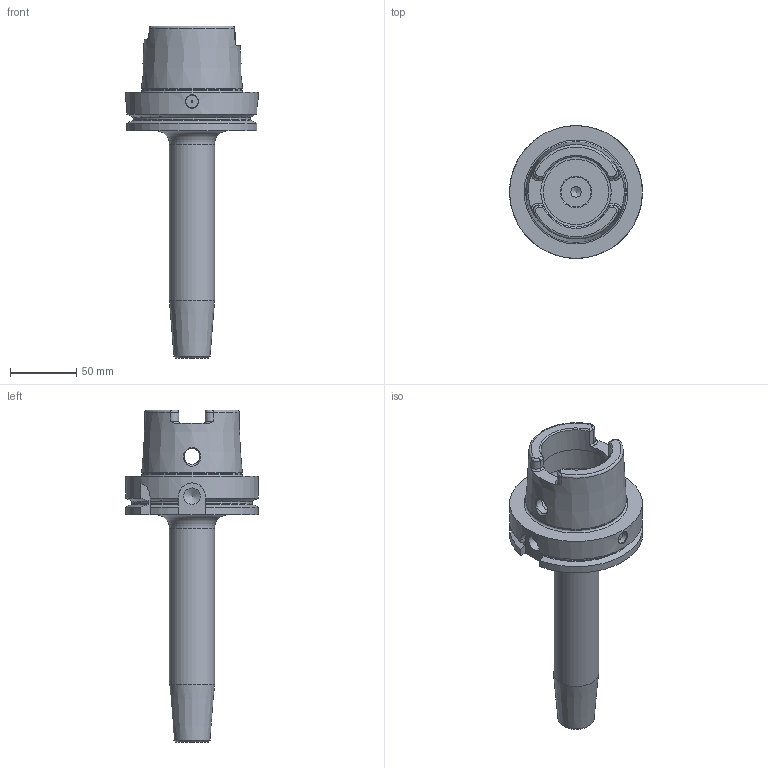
import cadquery as cq
import math


SHANK_TOP = 49.9
SHANK_RADIUS_AT_FLANGE = 38.0
SHANK_SLOPE = 0.05
LUG_EDGE_ROUND = 1.8

RELIEF_TOP = 2.8
RELIEF_DEPTH = 0.3
RELIEF_LIP_HEIGHT = 0.6
RELIEF_FOOT_ROUND = 1.5

FLANGE_RADIUS = 50.0
FLANGE_BOTTOM = -29.0
GROOVE_Z = -19.9
GROOVE_DEPTH = 4.5
GROOVE_FLOOR_WIDTH = 2.6
GROOVE_FLANK_ANGLE = 25.0
GROOVE_ROOT_ROUND = 0.6

STEM_RADIUS = 17.0
STEM_ROOT_RADIUS = 10.0
NOSE_TOP = -157.0
NOSE_BOTTOM = -200.0
NOSE_END_RADIUS = 13.5
NOSE_CHAMFER = 1.5

MOUTH_RADIUS = 26.5
MOUTH_CHAMFER = 1.0
MOUTH_BOTTOM = 30.5
CAVITY_RADIUS = 31.0
CAVITY_CONE_ANGLE = 60.0
CAVITY_FLOOR = 4.0
CAVITY_FLOOR_ROUND = 6.4
TUBE_SEAT_RADIUS = 11.3
TUBE_SEAT_CHAMFER = 0.6
TUBE_SEAT_DEPTH = 15.0
COOLANT_HOLE_RADIUS = 4.0
COOLANT_HOLE_DEPTH = 10.0
DRILL_POINT_ANGLE = 118.0

NOTCH_WIDTH = 20.0
NOTCH_CORNER_RADIUS = 4.2
NOTCH_FLOOR_ROUND = 1.5
NOTCH_FLOOR_LEFT = 40.0
NOTCH_FLOOR_RIGHT = 35.0

CROSS_HOLE_Z = 15.0
CROSS_HOLE_RADIUS = 6.0
CROSS_HOLE_SINK = 1.0

SLOT_RADIUS = 10.0
WIDE_SLOT_RADIUS = 11.0
SLOT_CENTRE_Z = -15.0
DRIVE_SLOT_FLOOR = 44.0
INDEX_SLOT_FLOOR = 31.8
INDEX_SLOT_Y = 41.6
SLOT_HOLE_RADIUS = 6.2
SLOT_HOLE_DEPTH = 8.0

CHIP_Z = -7.0
CHIP_RADIUS = 4.6
CHIP_SINK = 0.5
CHIP_DEPTH = 4.6
CHIP_CENTRE_RADIUS = 0.6
CHIP_CENTRE_DEPTH = 1.0

TOLERANCE = 0.01


def shank_radius(z):
    return SHANK_RADIUS_AT_FLANGE - SHANK_SLOPE * z


def revolve_profile(profile):
    """Revolve a closed (radius, z) profile about the Z axis."""
    return profile.close().revolve(360, (0, 0, 0), (0, 1, 0))


def arc_mid_offset(radius):
    """Distance, along each axis, from the tangent lines to the middle of a quarter round."""
    return radius * (1 - math.sqrt(0.5))


def outer_body():
    relief_radius = shank_radius(RELIEF_TOP) - RELIEF_DEPTH
    foot_offset = arc_mid_offset(RELIEF_FOOT_ROUND)
    flank_rise = GROOVE_DEPTH * math.tan(math.radians(GROOVE_FLANK_ANGLE))
    half_floor = GROOVE_FLOOR_WIDTH / 2
    half_mouth = half_floor + flank_rise
    groove_radius = FLANGE_RADIUS - GROOVE_DEPTH
    nose_slope = (STEM_RADIUS - NOSE_END_RADIUS) / (NOSE_TOP - NOSE_BOTTOM)
    chamfer_radius = NOSE_END_RADIUS + nose_slope * NOSE_CHAMFER
    root_offset = arc_mid_offset(STEM_ROOT_RADIUS)
    profile = (
        cq.Workplane("XZ")
        .moveTo(0, SHANK_TOP)
        .lineTo(shank_radius(SHANK_TOP), SHANK_TOP)
        .lineTo(shank_radius(RELIEF_TOP), RELIEF_TOP)
        .lineTo(relief_radius, RELIEF_TOP - RELIEF_LIP_HEIGHT)
        .lineTo(relief_radius, RELIEF_FOOT_ROUND)
        .threePointArc(
            (relief_radius + foot_offset, foot_offset),
            (relief_radius + RELIEF_FOOT_ROUND, 0),
        )
        .lineTo(FLANGE_RADIUS, 0)
        .lineTo(FLANGE_RADIUS, GROOVE_Z + half_mouth)
        .lineTo(groove_radius, GROOVE_Z + half_floor)
        .lineTo(groove_radius, GROOVE_Z - half_floor)
        .lineTo(FLANGE_RADIUS, GROOVE_Z - half_mouth)
        .lineTo(FLANGE_RADIUS, FLANGE_BOTTOM)
        .lineTo(STEM_RADIUS + STEM_ROOT_RADIUS, FLANGE_BOTTOM)
        .threePointArc(
            (STEM_RADIUS + root_offset, FLANGE_BOTTOM - root_offset),
            (STEM_RADIUS, FLANGE_BOTTOM - STEM_ROOT_RADIUS),
        )
        .lineTo(STEM_RADIUS, NOSE_TOP)
        .lineTo(chamfer_radius, NOSE_BOTTOM + NOSE_CHAMFER)
        .lineTo(chamfer_radius - NOSE_CHAMFER, NOSE_BOTTOM)
        .lineTo(0, NOSE_BOTTOM)
    )
    body = revolve_profile(profile)
    in_groove = cq.selectors.BoxSelector(
        (-FLANGE_RADIUS, -FLANGE_RADIUS, GROOVE_Z - half_mouth / 2),
        (FLANGE_RADIUS, FLANGE_RADIUS, GROOVE_Z + half_mouth / 2),
    )
    return body.edges(in_groove).edges("%CIRCLE").fillet(GROOVE_ROOT_ROUND)


def drill_point_height(radius):
    return radius / math.tan(math.radians(DRILL_POINT_ANGLE / 2))


def clamping_cavity():
    shoulder_height = (CAVITY_RADIUS - MOUTH_RADIUS) / math.tan(math.radians(CAVITY_CONE_ANGLE))
    round_offset = arc_mid_offset(CAVITY_FLOOR_ROUND)
    seat_floor = CAVITY_FLOOR - TUBE_SEAT_DEPTH
    hole_bottom = seat_floor - COOLANT_HOLE_DEPTH
    profile = (
        cq.Workplane("XZ")
        .moveTo(0, SHANK_TOP)
        .lineTo(MOUTH_RADIUS + MOUTH_CHAMFER, SHANK_TOP)
        .lineTo(MOUTH_RADIUS, SHANK_TOP - MOUTH_CHAMFER)
        .lineTo(MOUTH_RADIUS, MOUTH_BOTTOM)
        .lineTo(CAVITY_RADIUS, MOUTH_BOTTOM - shoulder_height)
        .lineTo(CAVITY_RADIUS, CAVITY_FLOOR + CAVITY_FLOOR_ROUND)
        .threePointArc(
            (CAVITY_RADIUS - round_offset, CAVITY_FLOOR + round_offset),
            (CAVITY_RADIUS - CAVITY_FLOOR_ROUND, CAVITY_FLOOR),
        )
        .lineTo(TUBE_SEAT_RADIUS + TUBE_SEAT_CHAMFER, CAVITY_FLOOR)
        .lineTo(TUBE_SEAT_RADIUS, CAVITY_FLOOR - TUBE_SEAT_CHAMFER)
        .lineTo(TUBE_SEAT_RADIUS, seat_floor)
        .lineTo(COOLANT_HOLE_RADIUS, seat_floor)
        .lineTo(COOLANT_HOLE_RADIUS, hole_bottom)
        .lineTo(0, hole_bottom - drill_point_height(COOLANT_HOLE_RADIUS))
    )
    return revolve_profile(profile)


def driver_notch(floor_z):
    """Square-cornered cutter for a notch on the +X side, from the axis outwards."""
    return cq.Workplane("XY").box(
        FLANGE_RADIUS, NOTCH_WIDTH, SHANK_TOP - floor_z, centered=(False, True, False)
    ).translate((0, 0, floor_z))


def is_on_notch_wall(edge):
    return abs(abs(edge.Center().y) - NOTCH_WIDTH / 2) < TOLERANCE


def is_lug_corner(edge):
    """Upright edge where a notch wall leaves the taper."""
    between_levels = NOTCH_FLOOR_LEFT + TOLERANCE < edge.Center().z < SHANK_TOP - TOLERANCE
    return is_on_notch_wall(edge) and between_levels and abs(edge.Center().x) > MOUTH_RADIUS


def is_notch_floor_edge(edge):
    """Level edge between a notch wall and its floor."""
    heights = (edge.startPoint().z, edge.endPoint().z)
    on_a_floor = any(
        all(abs(z - floor_z) < TOLERANCE for z in heights)
        for floor_z in (NOTCH_FLOOR_LEFT, NOTCH_FLOOR_RIGHT)
    )
    return is_on_notch_wall(edge) and on_a_floor


def round_edges(body, is_wanted, radius):
    edges = [edge for edge in body.edges().vals() if is_wanted(edge)]
    return body.newObject(edges).fillet(radius)


def shank_with_lugs():
    """Outer body with both notches cut and the lugs rounded; the shank is still solid."""
    body = outer_body()
    body = body.cut(driver_notch(NOTCH_FLOOR_RIGHT))
    body = body.cut(turned_half_way(driver_notch(NOTCH_FLOOR_LEFT)))
    body = round_edges(body, is_lug_corner, NOTCH_CORNER_RADIUS)
    body = round_edges(body, is_notch_floor_edge, NOTCH_FLOOR_ROUND)
    return body.faces(">Z").edges().fillet(LUG_EDGE_ROUND)


def turned_half_way(cutter):
    return cutter.rotate((0, 0, 0), (0, 0, 1), 180)


def hole_along_x(radius, start_x, length, z):
    return cq.Workplane("YZ", origin=(start_x, 0, z)).circle(radius).extrude(length)


def countersink(radius, depth, rim_point, outward):
    """Cone of 90 degrees that widens a hole by `depth` at the rim and runs on past it."""
    length = radius + 2 * depth
    tip = rim_point + outward * (depth - length)
    return cq.Workplane(cq.Solid.makeCone(0, length, length, pnt=tip, dir=outward))


def cross_hole():
    """Through hole along X, countersunk on both sides of the taper."""
    rim = shank_radius(CROSS_HOLE_Z)
    hole = hole_along_x(CROSS_HOLE_RADIUS, -FLANGE_RADIUS, 2 * FLANGE_RADIUS, CROSS_HOLE_Z)
    rim_point = cq.Vector(rim, 0, CROSS_HOLE_Z)
    sink = countersink(CROSS_HOLE_RADIUS, CROSS_HOLE_SINK, rim_point, cq.Vector(1, 0, 0))
    return hole.union(sink).union(turned_half_way(sink))


def flange_slot(radius, floor_distance, centre_y):
    """Slot on the -X side with a round top, open through the flange's underside."""
    depth = FLANGE_RADIUS - floor_distance
    return (
        cq.Workplane("YZ", origin=(-FLANGE_RADIUS, centre_y, 0))
        .moveTo(-radius, FLANGE_BOTTOM)
        .lineTo(-radius, SLOT_CENTRE_Z)
        .threePointArc((0, SLOT_CENTRE_Z + radius), (radius, SLOT_CENTRE_Z))
        .lineTo(radius, FLANGE_BOTTOM)
        .close()
        .extrude(depth)
    )


def drive_slot(radius):
    """Drive slot on the -X side with a drilled hole in its floor."""
    hole = hole_along_x(SLOT_HOLE_RADIUS, -DRIVE_SLOT_FLOOR, SLOT_HOLE_DEPTH, SLOT_CENTRE_Z)
    point = cq.Workplane(cq.Solid.makeCone(
        SLOT_HOLE_RADIUS, 0, drill_point_height(SLOT_HOLE_RADIUS),
        pnt=cq.Vector(SLOT_HOLE_DEPTH - DRIVE_SLOT_FLOOR, 0, SLOT_CENTRE_Z),
        dir=cq.Vector(1, 0, 0),
    ))
    return flange_slot(radius, DRIVE_SLOT_FLOOR, 0).union(hole).union(point)


def chip_pocket():
    rim_plane = cq.Workplane("XZ", origin=(0, -FLANGE_RADIUS, CHIP_Z))
    pocket = rim_plane.circle(CHIP_RADIUS).extrude(-CHIP_DEPTH)
    centre_hole = rim_plane.circle(CHIP_CENTRE_RADIUS).extrude(-CHIP_DEPTH - CHIP_CENTRE_DEPTH)
    rim_point = cq.Vector(0, -FLANGE_RADIUS, CHIP_Z)
    sink = countersink(CHIP_RADIUS, CHIP_SINK, rim_point, cq.Vector(0, -1, 0))
    return pocket.union(sink).union(centre_hole)


body = shank_with_lugs()
body = body.cut(clamping_cavity())
body = body.cut(cross_hole())
body = body.cut(drive_slot(SLOT_RADIUS))
body = body.cut(turned_half_way(drive_slot(WIDE_SLOT_RADIUS)))
body = body.cut(flange_slot(SLOT_RADIUS, INDEX_SLOT_FLOOR, INDEX_SLOT_Y))
result = body.cut(chip_pocket())